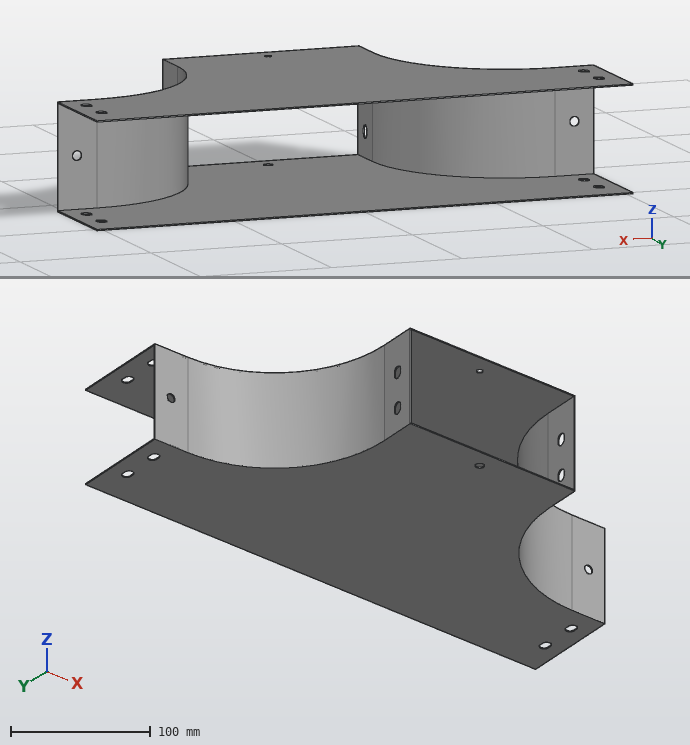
import cadquery as cq
import math

length = 410.0
depth = 210.0
height = 80.0
sheet = 1.0

bend_radius = 100.0
straight_end = 30.0
half_length = length / 2
bend_center_x = half_length - straight_end
half_branch = bend_center_x - bend_radius
wall_y = straight_end + bend_radius

hole_inset = 14.8
hole_diameter = 7.0
lid_hole_diameter = 5.0
slot_length = 10.0
slot_width = 7.0
near_slot_offset = 20.0
slot_pitch = 30.0
slot_offsets = [near_slot_offset, near_slot_offset + slot_pitch]


def tee_prism(wall_inset, bottom_z, prism_height):
    """T-shaped prism whose bent side faces lie wall_inset inside the outer faces."""
    radius = bend_radius + wall_inset
    half_mouth = half_branch - wall_inset
    side_y = wall_y + wall_inset
    arc_mid_x = bend_center_x - radius * math.cos(math.pi / 4)
    arc_mid_y = straight_end + radius * math.sin(math.pi / 4)
    return (
        cq.Workplane("XY", origin=(0, 0, bottom_z))
        .moveTo(-half_mouth, 0)
        .lineTo(half_mouth, 0)
        .lineTo(half_mouth, straight_end)
        .threePointArc((arc_mid_x, arc_mid_y), (bend_center_x, side_y))
        .lineTo(half_length, side_y)
        .lineTo(half_length, depth)
        .lineTo(-half_length, depth)
        .lineTo(-half_length, side_y)
        .lineTo(-bend_center_x, side_y)
        .threePointArc((-arc_mid_x, arc_mid_y), (-half_mouth, straight_end))
        .close()
        .extrude(prism_height)
    )


body = tee_prism(0, 0, height).cut(tee_prism(sheet, sheet, height - 2 * sheet))

run_slots = [
    (side * (half_length - hole_inset), wall_y + offset)
    for side in (-1, 1)
    for offset in slot_offsets
]
body = body.cut(
    cq.Workplane("XY").pushPoints(run_slots).slot2D(slot_length, slot_width, 90).extrude(height)
)

branch_slots = [(hole_inset, offset) for offset in slot_offsets]
body = body.cut(
    cq.Workplane("YZ")
    .pushPoints(branch_slots)
    .slot2D(slot_length, slot_width, 90)
    .extrude(half_branch, both=True)
)

wall_holes = [(side * (half_length - hole_inset), height / 2) for side in (-1, 1)]
body = body.cut(
    cq.Workplane("XZ", origin=(0, wall_y + sheet, 0))
    .pushPoints(wall_holes)
    .circle(hole_diameter / 2)
    .extrude(sheet)
)

floor_hole = cq.Workplane("XY").center(0, hole_inset).circle(hole_diameter / 2).extrude(sheet)
lid_hole = (
    cq.Workplane("XY", origin=(0, 0, height - sheet))
    .center(0, hole_inset)
    .circle(lid_hole_diameter / 2)
    .extrude(sheet)
)
result = body.cut(floor_hole).cut(lid_hole)